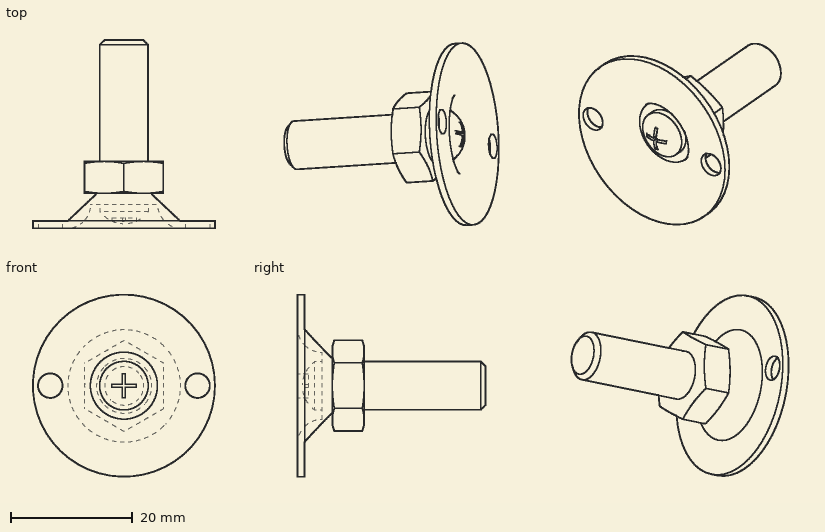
import cadquery as cq
import math

total_length = 31.0

flange_diameter = 30.0
flange_thickness = 1.2
mount_hole_diameter = 4.0
mount_hole_offset = 12.12

cone_base_radius = 9.27
cone_top_radius = 4.77
cone_height = 5.45
cup_top_radius = 4.53
cup_height = 5.77

flare_radius = 4.0
recess_floor_radius = 5.52
recess_depth = flare_radius
recess_mouth_radius = recess_floor_radius + flare_radius

screw_diameter = 8.0
screw_radius = screw_diameter / 2
tip_chamfer = 0.8
head_rim_height = 1.18
dome_height = 2.05
cross_length = 4.0
cross_width = 0.5
cross_depth = 1.0

nut_across_flats = 13.0
nut_corner_radius = nut_across_flats / math.sqrt(3)
nut_thickness = 5.25
nut_chamfer_height = 0.3
nut_face_radius = nut_across_flats / 2


def revolve_about_y(outline):
    """Revolve an outline drawn in radius (X) and height (Y) around the Y axis."""
    return outline.close().revolve(360, (0, 0, 0), (0, 1, 0))


def make_cup():
    """Round flange with a cone behind it and a flared recess in its front."""
    diagonal = flare_radius * math.sqrt(0.5)
    flare_middle = (recess_mouth_radius - diagonal, recess_depth - diagonal)
    outline = (
        cq.Workplane("XY")
        .moveTo(0, recess_depth)
        .lineTo(recess_floor_radius, recess_depth)
        .threePointArc(flare_middle, (recess_mouth_radius, 0))
        .lineTo(flange_diameter / 2, 0)
        .lineTo(flange_diameter / 2, flange_thickness)
        .lineTo(cone_base_radius, flange_thickness)
        .lineTo(cone_top_radius, cone_height)
        .lineTo(cup_top_radius, cup_height)
        .lineTo(0, cup_height)
    )
    return revolve_about_y(outline)


def make_mount_holes():
    """Two through holes in the flange, on the X axis."""
    return (
        cq.Workplane("XZ")
        .pushPoints([(-mount_hole_offset, 0), (mount_hole_offset, 0)])
        .circle(mount_hole_diameter / 2)
        .extrude(-flange_thickness)
    )


def make_screw():
    """Shank with a chamfered tip and a low domed, cross-slotted end in the recess."""
    rim_level = recess_depth - head_rim_height
    dome_level = rim_level - dome_height
    sphere_radius = (screw_radius**2 + dome_height**2) / (2 * dome_height)
    half_angle = math.asin(screw_radius / sphere_radius) / 2
    dome_middle = (
        sphere_radius * math.sin(half_angle),
        dome_level + sphere_radius * (1 - math.cos(half_angle)),
    )
    outline = (
        cq.Workplane("XY")
        .moveTo(0, dome_level)
        .threePointArc(dome_middle, (screw_radius, rim_level))
        .lineTo(screw_radius, total_length - tip_chamfer)
        .lineTo(screw_radius - tip_chamfer, total_length)
        .lineTo(0, total_length)
    )
    screw = revolve_about_y(outline)
    for width, height in ((cross_length, cross_width), (cross_width, cross_length)):
        slot = (
            cq.Workplane("XZ", origin=(0, dome_level, 0))
            .rect(width, height)
            .extrude(-cross_depth)
        )
        screw = screw.cut(slot)
    return screw


def make_nut():
    """Hexagon nut on top of the cup, its corners chamfered at both ends."""
    nut_top = cup_height + nut_thickness
    hexagon = (
        cq.Workplane("XZ", origin=(0, cup_height, 0))
        .polygon(6, 2 * nut_corner_radius)
        .extrude(-nut_thickness)
        .rotate((0, 0, 0), (0, 1, 0), 30)
    )
    envelope = (
        cq.Workplane("XY")
        .moveTo(0, cup_height)
        .lineTo(nut_face_radius, cup_height)
        .lineTo(nut_corner_radius, cup_height + nut_chamfer_height)
        .lineTo(nut_corner_radius, nut_top - nut_chamfer_height)
        .lineTo(nut_face_radius, nut_top)
        .lineTo(0, nut_top)
    )
    return hexagon.intersect(revolve_about_y(envelope))


result = make_cup().cut(make_mount_holes()).union(make_screw()).union(make_nut())